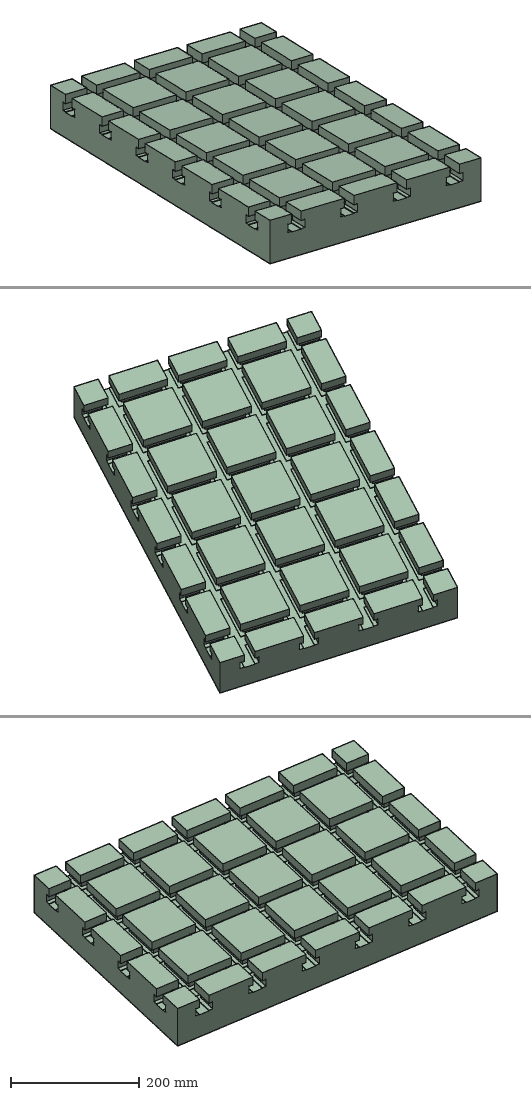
import cadquery as cq

length = 600.0
slots_along_length = 6
slots_along_width = 4
pitch = length / slots_along_length
width = slots_along_width * pitch
height = 75.0

neck_width = 18.0
lip_depth = 16.0
head_width = 32.0
head_depth = 30.0
groove_depth = 1.0


def slot_centers(count):
    """Evenly pitched positions, symmetric about the plate center."""
    return [(i - (count - 1) / 2) * pitch for i in range(count)]


def tee_slot(plane, center, run):
    """T-slot cutter, open at the top face and extruded over the full run."""
    half_neck = neck_width / 2
    half_head = head_width / 2
    lip_z = height - lip_depth
    head_floor_z = height - head_depth
    groove_floor_z = head_floor_z - groove_depth
    right_half = [
        (half_neck, height),
        (half_neck, lip_z),
        (half_head, lip_z),
        (half_head, head_floor_z),
        (half_neck, head_floor_z),
        (half_neck, groove_floor_z),
    ]
    left_half = [(-x, z) for x, z in reversed(right_half)]
    outline = [(center + x, z) for x, z in right_half + left_half]
    return cq.Workplane(plane).polyline(outline).close().extrude(run / 2, both=True)


result = cq.Workplane("XY").box(length, width, height, centered=(True, True, False))

for slot_x in slot_centers(slots_along_length):
    result = result.cut(tee_slot("XZ", slot_x, width))

for slot_y in slot_centers(slots_along_width):
    result = result.cut(tee_slot("YZ", slot_y, length))